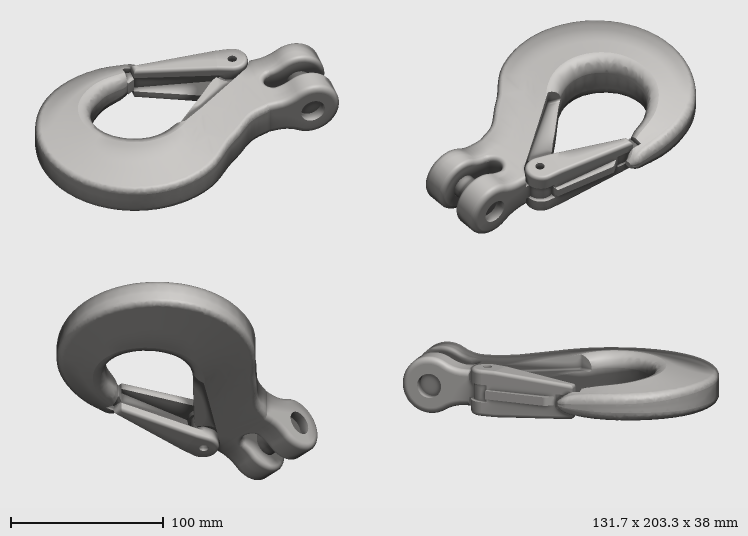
import cadquery as cq
import math


THROAT_RADIUS = 28.7
THROAT_CENTRE = (0.5, 0.5)
BOW_RADIUS = 131.5 / 2
BOW_CENTRE = (12.5, -3.0)

EYE_RADIUS = 38.0 / 2
EYE_Y = 115.5
CLEVIS_HALF_WIDTH = 25.0
CLEVIS_BASE_Y = 85.8
NECK_HALF_HEIGHT = 24.2 / 2
NECK_BLEND_Y = 91.5
CLEVIS_EDGE_RADIUS = 4.0
SLOT_HALF_WIDTH = 6.5
SLOT_BOTTOM_Y = 90.0
SLOT_EDGE_RADIUS = 3.3

CLEVIS_HOLE_DIAMETER = 16.3
CLEVIS_PIN_DIAMETER = 16.0
CLEVIS_PIN_RECESS = 7.1

PIVOT = (-24.0, 75.9)
LATCH_HEAD_CENTRE = (-25.0, 75.9)
LATCH_HEAD_RADIUS = 10.5
LATCH_TIP_Y = 12.2
LATCH_TIP_LEFT = -43.5
LATCH_TIP_RIGHT = -36.5
LATCH_HEAD_HALF_HEIGHT = 31.1 / 2
LATCH_TIP_HALF_HEIGHT = 11.5
LATCH_BEND_DISTANCE = 10.2
LATCH_EDGE_RADIUS = 2.5
LATCH_WEB = 3.3
LATCH_CLEARANCE = 0.5
LATCH_WINDOW_BOTTOM_Y = 73.0
TONGUE_END_Y = 7.1
TONGUE_END_LEFT = -44.7
TONGUE_END_RIGHT = -33.5
TONGUE_HALF_HEIGHT = 4.7
NOSE_POCKET_TOP_Y = 24.5
NOSE_POCKET_DEPTH = 1.6
RIB_HALF_HEIGHT = 2.8
RIB_TOP_DEPTH = 2.8
RIB_BOTTOM_DEPTH = 4.5
RIB_TOP_Y = 73.2
RIB_SLOPE_Y = 30.5
RIB_BOTTOM_Y = 25.5
RIB_END_RADIUS = 3.0

LATCH_PIN_DIAMETER = 8.0
LATCH_PIN_BORE = 6.0

LUG_RADIUS = 9.0
LUG_HALF_HEIGHT = 5.5
LUG_RECESS_RADIUS = 14.2
RECESS_TOP = (-25.0, 88.9)
RECESS_BEND = (-15.9, 82.8)
RECESS_END = (25.5, 26.8)
RECESS_MOUTH = (21.4, 14.6)
RECESS_FLOOR_AT_PIVOT = 8.7
RECESS_FLOOR_AT_END = 5.3
RECESS_CORNER_RADIUS = 2.0
RECESS_FLOOR_RADIUS = 1.6

NOTCH_LEFT = -45.1
NOTCH_TOP_LEFT = -44.0
NOTCH_TOP_Y = 17.5
NOTCH_BOTTOM_Y = 7.0

CUT_DEPTH = 81.3
SELECT_MARGIN = 0.2

SHANK_SECTIONS = [
    ((-CLEVIS_HALF_WIDTH, CLEVIS_BASE_Y), (CLEVIS_HALF_WIDTH, CLEVIS_BASE_Y),
     NECK_HALF_HEIGHT, NECK_HALF_HEIGHT, CLEVIS_EDGE_RADIUS, CLEVIS_EDGE_RADIUS),
    ((-24.5, 80.0), (27.0, 80.0), 12.5, 12.0, 5.7, 4.0),
    ((-17.0, 60.4), (33.5, 68.0), 13.2, 12.0, 8.1, 4.0),
    ((-7.5, 50.5), (41.0, 60.2), 13.6, 11.8, 9.2, 4.0),
    ((3.0, 39.2), (49.5, 50.5), 14.0, 11.8, 9.2, 4.0),
    ((21.1, 20.3), (67.1, 32.3), 16.0, 10.8, 9.5, 4.0),
]
BOW_SECTIONS = [
    (0, 16.9, 10.2, 9.5, 4.0),
    (-30, 16.9, 10.2, 9.5, 4.0),
    (-60, 16.3, 10.2, 9.5, 4.0),
    (-90, 15.0, 10.2, 9.2, 4.5),
    (-120, 13.8, 10.0, 8.5, 5.0),
    (-150, 12.2, 9.4, 8.0, 6.0),
]
NOSE_SECTIONS = [
    ((-29.7, -3.0), (-53.3, -4.0), 10.8, 8.5, 7.3, 6.0),
    ((-34.4, 7.3), (-53.3, 8.7), 9.0, 7.3, 6.5, 5.7),
    ((-43.5, 16.9), (-52.7, 17.0), 5.0, 4.7, 3.7, 3.7),
    ((-45.8, 20.5), (-50.6, 20.5), 2.2, 2.2, 1.6, 1.6),
]


def polar(centre, radius, angle):
    return (centre[0] + radius * math.cos(angle), centre[1] + radius * math.sin(angle))


def tangent_point(point, centre, radius, side):
    """Point where the line from `point` touches the circle; side +1 or -1 picks one of the two."""
    dx = point[0] - centre[0]
    dy = point[1] - centre[1]
    angle = math.atan2(dy, dx) + side * math.acos(radius / math.hypot(dx, dy))
    return polar(centre, radius, angle)


def flat_plane(half_height):
    return cq.Workplane("XY").workplane(offset=-half_height)


def prism(outline, half_height):
    return flat_plane(half_height).polyline(outline).close().extrude(2 * half_height)


def cylinder(centre, radius, half_height):
    return flat_plane(half_height).center(*centre).circle(radius).extrude(2 * half_height)



def hook_section(inner, outer, inner_height, outer_height, inner_radius, outer_radius):
    """Closed section from the throat side (inner) to the back (outer), heights measured from Z = 0."""
    width = math.hypot(outer[0] - inner[0], outer[1] - inner[1])
    across = cq.Vector((outer[0] - inner[0]) / width, (outer[1] - inner[1]) / width, 0)
    start = cq.Vector(inner[0], inner[1], 0)
    bulge = 1 - math.sqrt(0.5)

    def at(u, z):
        return start + across * u + cq.Vector(0, 0, z)

    def corner(edge_u, inward, height, radius):
        return [
            (edge_u, height - radius),
            (edge_u + inward * bulge * radius, height - bulge * radius),
            (edge_u + inward * radius, height),
        ]

    inner_corner = corner(0, 1, inner_height, inner_radius)
    outer_corner = corner(width, -1, outer_height, outer_radius)[::-1]
    upper = [inner_corner, outer_corner]
    lower = [[(u, -z) for u, z in reversed(points)] for points in reversed(upper)]
    corners = [[at(u, z) for u, z in points] for points in upper + lower]
    edges = []
    for points, following in zip(corners, corners[1:] + corners[:1]):
        edges.append(cq.Edge.makeThreePointArc(*points))
        edges.append(cq.Edge.makeLine(points[-1], following[0]))
    return cq.Wire.assembleEdges(edges)


def bow_section(degrees, inner_height, outer_height, inner_radius, outer_radius):
    angle = math.radians(degrees)
    return hook_section(
        polar(THROAT_CENTRE, THROAT_RADIUS, angle), polar(BOW_CENTRE, BOW_RADIUS, angle),
        inner_height, outer_height, inner_radius, outer_radius,
    )


def hook_bow():
    """Smooth body from the clevis base round the bow to the nose."""
    shank = [hook_section(*section) for section in SHANK_SECTIONS]
    bow = [bow_section(*section) for section in BOW_SECTIONS]
    nose = [hook_section(*section) for section in NOSE_SECTIONS]
    return cq.Workplane(obj=cq.Solid.makeLoft(shank + bow + nose))


def clevis():
    """Two eyes on a neck, parted by a round-bottomed slot with rounded rims."""
    neck_run = EYE_Y - NECK_BLEND_Y
    neck_radius = (neck_run**2 + NECK_HALF_HEIGHT**2 - EYE_RADIUS**2) / (2 * (EYE_RADIUS - NECK_HALF_HEIGHT))
    neck_centre = (NECK_BLEND_Y, NECK_HALF_HEIGHT + neck_radius)
    blend_angle = math.atan2(-neck_centre[1], neck_run)
    blend_end = polar(neck_centre, neck_radius, blend_angle)
    blend_middle = polar(neck_centre, neck_radius, (blend_angle - math.pi / 2) / 2)

    def below(point):
        return (point[0], -point[1])

    body = (
        cq.Workplane("YZ").workplane(offset=-CLEVIS_HALF_WIDTH)
        .moveTo(CLEVIS_BASE_Y, -NECK_HALF_HEIGHT)
        .lineTo(CLEVIS_BASE_Y, NECK_HALF_HEIGHT)
        .lineTo(NECK_BLEND_Y, NECK_HALF_HEIGHT)
        .threePointArc(blend_middle, blend_end)
        .threePointArc((EYE_Y + EYE_RADIUS, 0), below(blend_end))
        .threePointArc(below(blend_middle), (NECK_BLEND_Y, -NECK_HALF_HEIGHT))
        .close()
        .extrude(2 * CLEVIS_HALF_WIDTH)
    )
    rim = cq.selectors.BoxSelector(
        (-CUT_DEPTH, CLEVIS_BASE_Y + SELECT_MARGIN, -CUT_DEPTH), (CUT_DEPTH, 2 * EYE_Y, CUT_DEPTH))
    body = body.faces("<X or >X").edges(rim).fillet(CLEVIS_EDGE_RADIUS)

    slot_end_y = SLOT_BOTTOM_Y + SLOT_HALF_WIDTH
    slot = cylinder((0, slot_end_y), SLOT_HALF_WIDTH, CUT_DEPTH).union(
        cq.Workplane("XY").center(0, slot_end_y + CUT_DEPTH / 2)
        .box(2 * SLOT_HALF_WIDTH, CUT_DEPTH, 2 * CUT_DEPTH))
    body = body.cut(slot)
    slot_rims = cq.selectors.BoxSelector(
        (-SLOT_HALF_WIDTH - SELECT_MARGIN, CLEVIS_BASE_Y + SELECT_MARGIN, -CUT_DEPTH),
        (SLOT_HALF_WIDTH + SELECT_MARGIN, 2 * EYE_Y, CUT_DEPTH), boundingbox=True)
    body = body.edges(slot_rims).edges("not |Z").fillet(SLOT_EDGE_RADIUS)
    hole = cq.Workplane("YZ").center(EYE_Y, 0).circle(CLEVIS_HOLE_DIAMETER / 2).extrude(CUT_DEPTH, both=True)
    return body.cut(hole)


def recess_cutter():
    """Upper recess: a tapering strip with a sloped floor, deepened around the pivot lug."""
    corner = cq.selectors.NearestToPointSelector((*RECESS_END, CUT_DEPTH / 2))
    plan = (
        cq.Workplane("XY")
        .moveTo(*RECESS_BEND)
        .lineTo(*RECESS_END)
        .lineTo(*RECESS_MOUTH)
        .lineTo(-CUT_DEPTH, RECESS_MOUTH[1])
        .lineTo(-CUT_DEPTH, RECESS_TOP[1])
        .lineTo(*RECESS_TOP)
        .close()
        .extrude(CUT_DEPTH)
        .edges("|Z").edges(corner).fillet(RECESS_CORNER_RADIUS)
    )
    run_x = RECESS_END[0] - PIVOT[0]
    run_y = RECESS_END[1] - PIVOT[1]
    length = math.hypot(run_x, run_y)
    along = cq.Plane(
        origin=(PIVOT[0], PIVOT[1], 0), xDir=(run_x, run_y, 0), normal=(run_y, -run_x, 0))
    slope = (RECESS_FLOOR_AT_END - RECESS_FLOOR_AT_PIVOT) / length
    above_floor = (
        cq.Workplane(along)
        .polyline([
            (-CUT_DEPTH, RECESS_FLOOR_AT_PIVOT - slope * CUT_DEPTH),
            (CUT_DEPTH, RECESS_FLOOR_AT_PIVOT + slope * CUT_DEPTH),
            (CUT_DEPTH, CUT_DEPTH),
            (-CUT_DEPTH, CUT_DEPTH),
        ])
        .close().extrude(CUT_DEPTH, both=True)
    )
    around_lug = (
        cq.Workplane("XY").workplane(offset=LUG_HALF_HEIGHT).center(*PIVOT)
        .circle(LUG_RECESS_RADIUS).extrude(CUT_DEPTH)
    )
    wall_foot = cq.selectors.NearestToPointSelector((
        (RECESS_BEND[0] + RECESS_END[0]) / 2, (RECESS_BEND[1] + RECESS_END[1]) / 2,
        (RECESS_FLOOR_AT_PIVOT + RECESS_FLOOR_AT_END) / 2))
    strip = plan.intersect(above_floor).edges(wall_foot).fillet(RECESS_FLOOR_RADIUS)
    return strip.union(plan.intersect(around_lug))


def make_hook():
    notch = prism(
        [(NOTCH_LEFT, NOTCH_BOTTOM_Y), (0, NOTCH_BOTTOM_Y), (0, NOTCH_TOP_Y), (NOTCH_TOP_LEFT, NOTCH_TOP_Y)],
        CUT_DEPTH)
    recess = recess_cutter()
    body = hook_bow().union(clevis())
    body = body.cut(recess).cut(recess.mirror("XY"))
    body = body.union(cylinder(PIVOT, LUG_RADIUS, LUG_HALF_HEIGHT))
    body = body.cut(cylinder(PIVOT, LATCH_PIN_DIAMETER / 2, CUT_DEPTH))
    return body.cut(notch)



LATCH_TIP = [(LATCH_TIP_LEFT, LATCH_TIP_Y), (LATCH_TIP_RIGHT, LATCH_TIP_Y)]
LATCH_LEFT_TANGENT = tangent_point(LATCH_TIP[0], LATCH_HEAD_CENTRE, LATCH_HEAD_RADIUS, -1)
LATCH_RIGHT_TANGENT = tangent_point(LATCH_TIP[1], LATCH_HEAD_CENTRE, LATCH_HEAD_RADIUS, 1)
LATCH_TIP_MIDDLE = ((LATCH_TIP_LEFT + LATCH_TIP_RIGHT) / 2, LATCH_TIP_Y)
LATCH_RUN = (LATCH_TIP_MIDDLE[0] - LATCH_HEAD_CENTRE[0], LATCH_TIP_MIDDLE[1] - LATCH_HEAD_CENTRE[1])
LATCH_LENGTH = math.hypot(*LATCH_RUN)
LATCH_AXIS = (LATCH_RUN[0] / LATCH_LENGTH, LATCH_RUN[1] / LATCH_LENGTH)


def height_wedge(head_height, tip_height):
    """Block across the latch whose half height falls linearly from the bend to past the tip."""
    across = cq.Plane(
        origin=(*LATCH_HEAD_CENTRE, 0), xDir=(*LATCH_AXIS, 0), normal=(LATCH_AXIS[1], -LATCH_AXIS[0], 0))
    slope = (tip_height - head_height) / (LATCH_LENGTH - LATCH_BEND_DISTANCE)
    end = LATCH_LENGTH + LATCH_HEAD_RADIUS
    half_profile = [
        (-2 * LATCH_HEAD_RADIUS, head_height),
        (LATCH_BEND_DISTANCE, head_height),
        (end, head_height + slope * (end - LATCH_BEND_DISTANCE)),
    ]
    profile = half_profile + [(distance, -z) for distance, z in reversed(half_profile)]
    return cq.Workplane(across).polyline(profile).close().extrude(CUT_DEPTH, both=True)


def latch_shell():
    """Solid outside of the latch: round head, tapering body, rounded rims."""
    head_top = (LATCH_HEAD_CENTRE[0], LATCH_HEAD_CENTRE[1] + LATCH_HEAD_RADIUS)
    plan = (
        flat_plane(CUT_DEPTH)
        .moveTo(*LATCH_TIP[0])
        .lineTo(*LATCH_LEFT_TANGENT)
        .threePointArc(head_top, LATCH_RIGHT_TANGENT)
        .lineTo(*LATCH_TIP[1])
        .close()
        .extrude(2 * CUT_DEPTH)
    )
    shell = plan.intersect(height_wedge(LATCH_HEAD_HALF_HEIGHT, LATCH_TIP_HALF_HEIGHT))
    bends = cq.selectors.PerpendicularDirSelector(cq.Vector(*LATCH_AXIS, 0))
    outline = shell.edges("not (|Z or |X)")
    return outline.edges(cq.selectors.InverseSelector(bends)).fillet(LATCH_EDGE_RADIUS)


def latch_cavity():
    """Space between the two plates, open towards the hook, with a window for the lug at the head."""
    edge_x = LATCH_TIP[0][0] - LATCH_LEFT_TANGENT[0]
    edge_y = LATCH_TIP[0][1] - LATCH_LEFT_TANGENT[1]
    edge_length = math.hypot(edge_x, edge_y)
    inward = (-edge_y / edge_length * LATCH_WEB, edge_x / edge_length * LATCH_WEB)
    web_inside = prism(
        [
            (LATCH_LEFT_TANGENT[0] + inward[0], LATCH_LEFT_TANGENT[1] + inward[1]),
            (LATCH_TIP[0][0] + inward[0], LATCH_TIP[0][1] + inward[1]),
            (0, LATCH_TIP_Y),
            (0, LATCH_LEFT_TANGENT[1]),
        ],
        CUT_DEPTH)
    tapered = web_inside.intersect(height_wedge(
        RECESS_FLOOR_AT_PIVOT + LATCH_CLEARANCE, RECESS_FLOOR_AT_END + LATCH_CLEARANCE))
    pivot_boss = cylinder(PIVOT, LATCH_HEAD_RADIUS, CUT_DEPTH)
    window_height = LUG_HALF_HEIGHT + LATCH_CLEARANCE
    window = (
        cq.Workplane("XY").center(LATCH_HEAD_CENTRE[0], LATCH_WINDOW_BOTTOM_Y + LATCH_HEAD_RADIUS)
        .box(CUT_DEPTH, 2 * LATCH_HEAD_RADIUS, 2 * window_height)
    )
    lug_space = cylinder(PIVOT, LUG_RADIUS + LATCH_CLEARANCE, window_height)
    beside_lug = tapered.intersect(cylinder(PIVOT, LATCH_HEAD_RADIUS, window_height))
    return tapered.cut(pivot_boss).union(beside_lug).union(window).union(lug_space)


def latch_tongue():
    """Tapered end that sits in the notch of the nose."""
    return prism(
        [
            LATCH_TIP[0], LATCH_TIP[1],
            (TONGUE_END_RIGHT, TONGUE_END_Y),
            (TONGUE_END_LEFT, TONGUE_END_Y),
        ],
        TONGUE_HALF_HEIGHT)


def on_latch_edge(y, offset):
    """Point on the line Y = `y`, moved in X by `offset` from the straight outer edge of the web."""
    slope = (LATCH_LEFT_TANGENT[0] - LATCH_TIP_LEFT) / (LATCH_LEFT_TANGENT[1] - LATCH_TIP_Y)
    return (LATCH_TIP_LEFT + slope * (y - LATCH_TIP_Y) + offset, y)


def nose_pocket():
    """Shallow pocket in the outside of the web that clears the end of the nose."""
    return prism(
        [
            on_latch_edge(NOSE_POCKET_TOP_Y, -LATCH_WEB), on_latch_edge(NOSE_POCKET_TOP_Y, NOSE_POCKET_DEPTH),
            on_latch_edge(LATCH_TIP_Y, NOSE_POCKET_DEPTH), on_latch_edge(LATCH_TIP_Y, -LATCH_WEB),
        ],
        TONGUE_HALF_HEIGHT)


def latch_rib():
    """Stiffening rib along the outside of the web, sloping into it at its lower end."""
    return prism(
        [
            on_latch_edge(RIB_TOP_Y, LATCH_WEB / 2), on_latch_edge(RIB_TOP_Y, -RIB_TOP_DEPTH),
            on_latch_edge(RIB_SLOPE_Y, -RIB_BOTTOM_DEPTH), on_latch_edge(RIB_BOTTOM_Y, 0),
            on_latch_edge(RIB_BOTTOM_Y, LATCH_WEB / 2),
        ],
        RIB_HALF_HEIGHT).edges("|Z and <X").fillet(RIB_END_RADIUS)


def make_latch():
    body = latch_shell()
    body = body.cut(latch_cavity()).cut(nose_pocket()).union(latch_tongue()).union(latch_rib())
    return body.cut(cylinder(PIVOT, LATCH_PIN_DIAMETER / 2, CUT_DEPTH))



def make_clevis_pin():
    """Plain pin through both eyes, its ends sunk below the outer faces."""
    half_length = CLEVIS_HALF_WIDTH - CLEVIS_PIN_RECESS
    return (
        cq.Workplane("YZ").workplane(offset=-half_length).center(EYE_Y, 0)
        .circle(CLEVIS_PIN_DIAMETER / 2).extrude(2 * half_length)
    )


def make_latch_pin():
    """Tubular pin that joins the latch to the lug."""
    return (
        flat_plane(LATCH_HEAD_HALF_HEIGHT).center(*PIVOT)
        .circle(LATCH_PIN_DIAMETER / 2).circle(LATCH_PIN_BORE / 2)
        .extrude(2 * LATCH_HEAD_HALF_HEIGHT)
    )


hook = make_hook()
latch = make_latch()
clevis_pin = make_clevis_pin()
latch_pin = make_latch_pin()

result = cq.Compound.makeCompound([
    hook.solids().val(), latch.solids().val(), clevis_pin.solids().val(), latch_pin.solids().val(),
])